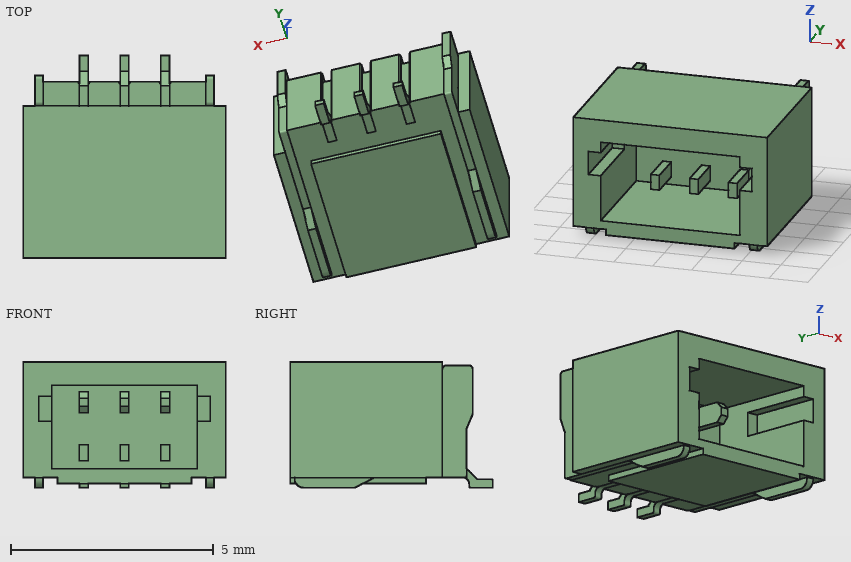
import cadquery as cq


SHELL_WIDTH = 5.0
SHELL_DEPTH = 3.755
SHELL_TOP = 3.105
SHELL_BOTTOM = 0.25

FOOT_WIDTH = 3.31
FOOT_DEPTH = 3.355
FOOT_BOTTOM = 0.1

CAVITY_WIDTH = 3.585
CAVITY_BOTTOM = 0.465
CAVITY_TOP = 2.525
CAVITY_DEPTH = 3.0
KEY_SPAN = 4.215
KEY_BOTTOM = 1.645
KEY_TOP = 2.25
KEY_DEPTH = 2.0

BLOCK_REAR = 4.35
BLOCK_TOP = 2.695
SLOT_LEAD_IN_WIDTH = 0.035
SLOT_LEAD_IN_DEPTH = 0.055

CONTACT_COUNT = 3
CONTACT_PITCH = 1.0
CONTACT_WIDTH = 0.22
SPINE_REAR = 4.25
UPPER_TINE_TOP = 2.37
UPPER_TINE_BOTTOM = 1.855
LOWER_TINE_TOP = 1.055
LOWER_TINE_BOTTOM = 0.665
TINE_TIP = 2.0
TIP_BEVEL_LENGTH = 0.15
TIP_BEVEL_HEIGHT = 0.16
TAIL_END = 5.0
TAIL_THICKNESS = 0.215
TAIL_BEND = 4.61
TAIL_HEEL = 4.41
TAIL_END_RADIUS = 0.04
HEEL_RADIUS = 0.045
HEEL_INNER_RADIUS = 0.15

HOLD_DOWN_CENTRE = 2.105
HOLD_DOWN_THICKNESS = 0.205
TAB_TOP = 3.02
TAB_REAR = 4.505
TAB_TOP_RADIUS = 0.1
TAB_SLOPE_TOP = 1.82
TAB_SHOULDER = 1.445
TAB_BOTTOM_RADIUS = 0.05
LEG_FRONT = 0.11
LEG_TOE_RADIUS = 0.225
LEG_SLOPE_BOTTOM = 1.6
LEG_SLOPE_TOP = 2.075

contact_positions = [
    (index - (CONTACT_COUNT - 1) / 2) * CONTACT_PITCH for index in range(CONTACT_COUNT)
]
hold_down_positions = [-HOLD_DOWN_CENTRE, HOLD_DOWN_CENTRE]


def centred_box(width, y_min, y_max, z_min, z_max):
    """Box centred on X = 0 between the given Y and Z limits."""
    box = cq.Workplane("XY").box(width, y_max - y_min, z_max - z_min, centered=(True, False, False))
    return box.translate((0, y_min, z_min))


def side_plate(outline, thickness):
    """Flat plate centred on X = 0, from an outline of (y, z) corners."""
    return cq.Workplane("YZ").polyline(outline).close().extrude(thickness / 2, both=True)


def round_corner(plate, corner, radius):
    """Round the plate edge that runs along X through a (y, z) corner."""
    y, z = corner
    return plate.edges(cq.selectors.NearestToPointSelector((0, y, z))).fillet(radius)


def make_contact():
    """Fork of two tines on an upright spine, with a solder tail bent down to Z = 0."""
    tail_toe = (TAIL_END, TAIL_THICKNESS)
    tail_heel = (TAIL_HEEL, 0)
    heel_inner = (TAIL_HEEL, SHELL_BOTTOM)
    outline = [
        (SHELL_DEPTH, SHELL_BOTTOM),
        heel_inner,
        tail_heel,
        (TAIL_END, 0),
        tail_toe,
        (TAIL_BEND, TAIL_THICKNESS),
        (SPINE_REAR, TAIL_THICKNESS + TAIL_BEND - SPINE_REAR),
        (SPINE_REAR, UPPER_TINE_TOP),
        (TINE_TIP + TIP_BEVEL_LENGTH, UPPER_TINE_TOP),
        (TINE_TIP, UPPER_TINE_TOP - TIP_BEVEL_HEIGHT),
        (TINE_TIP, UPPER_TINE_BOTTOM + TIP_BEVEL_HEIGHT),
        (TINE_TIP + TIP_BEVEL_LENGTH, UPPER_TINE_BOTTOM),
        (SHELL_DEPTH, UPPER_TINE_BOTTOM),
        (SHELL_DEPTH, LOWER_TINE_TOP),
        (TINE_TIP, LOWER_TINE_TOP),
        (TINE_TIP, LOWER_TINE_BOTTOM),
        (SHELL_DEPTH, LOWER_TINE_BOTTOM),
    ]
    contact = side_plate(outline, CONTACT_WIDTH)
    contact = round_corner(contact, tail_toe, TAIL_END_RADIUS)
    contact = round_corner(contact, tail_heel, HEEL_RADIUS)
    return round_corner(contact, heel_inner, HEEL_INNER_RADIUS)


def make_hold_down():
    """Rear tab joined by a bar, flush with the shell underside, to a solder leg near the front."""
    tab_top_front = (SHELL_DEPTH, TAB_TOP)
    tab_top_rear = (TAB_REAR, TAB_TOP)
    tab_bottom_rear = (BLOCK_REAR, SHELL_BOTTOM)
    leg_toe = (LEG_FRONT, 0)
    outline = [
        leg_toe,
        (LEG_SLOPE_BOTTOM, 0),
        (LEG_SLOPE_TOP, SHELL_BOTTOM),
        tab_bottom_rear,
        (BLOCK_REAR, TAB_SHOULDER),
        (TAB_REAR, TAB_SLOPE_TOP),
        tab_top_rear,
        tab_top_front,
        (SHELL_DEPTH, TAB_SHOULDER),
        (LEG_FRONT, TAB_SHOULDER),
    ]
    hold_down = side_plate(outline, HOLD_DOWN_THICKNESS)
    hold_down = round_corner(hold_down, tab_top_front, TAB_TOP_RADIUS)
    hold_down = round_corner(hold_down, tab_top_rear, TAB_TOP_RADIUS)
    hold_down = round_corner(hold_down, tab_bottom_rear, TAB_BOTTOM_RADIUS)
    return round_corner(hold_down, leg_toe, LEG_TOE_RADIUS)


def make_spine_slot():
    """Full-height slot in the rear block, with bevelled corners at its open end."""
    half_slot = CONTACT_WIDTH / 2
    half_mouth = half_slot + SLOT_LEAD_IN_WIDTH
    lead_in_start = BLOCK_REAR - SLOT_LEAD_IN_DEPTH
    outline = [
        (-half_slot, SHELL_DEPTH),
        (half_slot, SHELL_DEPTH),
        (half_slot, lead_in_start),
        (half_mouth, BLOCK_REAR),
        (-half_mouth, BLOCK_REAR),
        (-half_slot, lead_in_start),
    ]
    slot = cq.Workplane("XY").polyline(outline).close().extrude(BLOCK_TOP - SHELL_BOTTOM)
    return slot.translate((0, 0, SHELL_BOTTOM))


def make_housing(contacts, hold_downs):
    """Shell, foot and rear block, hollowed for the mating plug and the metal parts."""
    block_width = 2 * HOLD_DOWN_CENTRE - HOLD_DOWN_THICKNESS
    housing = centred_box(SHELL_WIDTH, 0, SHELL_DEPTH, SHELL_BOTTOM, SHELL_TOP)
    housing = housing.union(centred_box(FOOT_WIDTH, 0, FOOT_DEPTH, FOOT_BOTTOM, SHELL_BOTTOM))
    housing = housing.union(centred_box(block_width, SHELL_DEPTH, BLOCK_REAR, SHELL_BOTTOM, BLOCK_TOP))

    housing = housing.cut(centred_box(CAVITY_WIDTH, 0, CAVITY_DEPTH, CAVITY_BOTTOM, CAVITY_TOP))
    housing = housing.cut(centred_box(KEY_SPAN, 0, KEY_DEPTH, KEY_BOTTOM, KEY_TOP))

    for x in contact_positions:
        housing = housing.cut(make_spine_slot().translate((x, 0, 0)))
    for metal_part in contacts + hold_downs:
        housing = housing.cut(metal_part)
    return housing


contacts = [make_contact().translate((x, 0, 0)) for x in contact_positions]
hold_downs = [make_hold_down().translate((x, 0, 0)) for x in hold_down_positions]
housing = make_housing(contacts, hold_downs)

result = cq.Compound.makeCompound(
    [housing.val()]
    + [contact.val() for contact in contacts]
    + [hold_down.val() for hold_down in hold_downs]
)